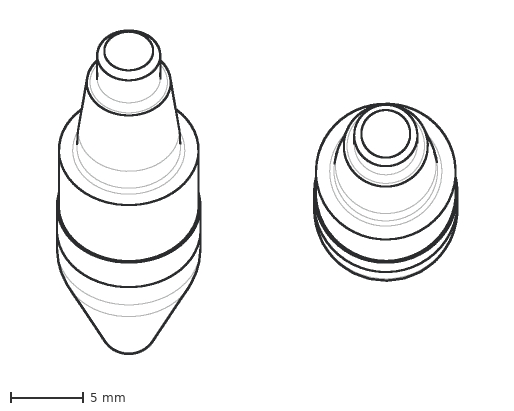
import cadquery as cq
import math

total_length = 33.0
collar_radius = 4.98
joint_z = 12.7
nose_radius = 2.0
blend_radius = 5.0
cone_angle = math.radians(20)

barrel_radius = 4.85
collar_top_z = 15.48
barrel_top_z = 21.8
neck_radius = 3.6
neck_arc_radius = 17.15
neck_taper = math.radians(6)
neck_fillet = 0.3
neck_top_z = 29.47
pin_radius = 4.4 / 2
pin_fillet = 0.5
pin_chamfer = 0.5


def revolve_outline(outline):
    """Turn a closed half-outline, drawn in XZ, about the Z axis."""
    return outline.close().revolve(360, (0, 0, 0), (0, 1, 0))


def arc_point(center_radius, center_z, radius, angle):
    """Point on an arc, with the angle measured up from the outward radial direction."""
    return (center_radius + radius * math.cos(angle), center_z + radius * math.sin(angle))


def make_tip():
    """Spherical nose, tangent cone, tangent blend and cylindrical rim."""
    nose_end = arc_point(0, nose_radius, nose_radius, -cone_angle)
    nose_mid = arc_point(0, nose_radius, nose_radius, -(math.pi / 2 + cone_angle) / 2)

    blend_center_r = collar_radius - blend_radius
    cone_top_r = blend_center_r + blend_radius * math.cos(cone_angle)
    cone_top_z = nose_end[1] + (cone_top_r - nose_end[0]) / math.tan(cone_angle)
    rim_z = cone_top_z + blend_radius * math.sin(cone_angle)
    blend_mid = arc_point(blend_center_r, rim_z, blend_radius, -cone_angle / 2)

    outline = (
        cq.Workplane("XZ")
        .moveTo(0, 0)
        .threePointArc(nose_mid, nose_end)
        .lineTo(cone_top_r, cone_top_z)
        .threePointArc(blend_mid, (collar_radius, rim_z))
        .lineTo(collar_radius, joint_z)
        .lineTo(0, joint_z)
    )
    return revolve_outline(outline)


def concave_fillet_mid(radius, base_z, fillet):
    """Middle of a quarter-round fillet between a flat shoulder and a cylinder."""
    return arc_point(radius + fillet, base_z + fillet, fillet, math.radians(225))


def make_shank():
    """Collar, barrel, tapered neck and chamfered end pin."""
    neck_base_z = barrel_top_z + neck_fillet
    neck_center_r = neck_radius - neck_arc_radius
    neck_mid = arc_point(neck_center_r, neck_base_z, neck_arc_radius, neck_taper / 2)
    taper_start = arc_point(neck_center_r, neck_base_z, neck_arc_radius, neck_taper)
    neck_top_radius = taper_start[0] - (neck_top_z - taper_start[1]) * math.tan(neck_taper)

    outline = (
        cq.Workplane("XZ")
        .moveTo(0, joint_z)
        .lineTo(collar_radius, joint_z)
        .lineTo(collar_radius, collar_top_z)
        .lineTo(barrel_radius, collar_top_z)
        .lineTo(barrel_radius, barrel_top_z)
        .lineTo(neck_radius + neck_fillet, barrel_top_z)
        .threePointArc(
            concave_fillet_mid(neck_radius, barrel_top_z, neck_fillet),
            (neck_radius, neck_base_z),
        )
        .threePointArc(neck_mid, taper_start)
        .lineTo(neck_top_radius, neck_top_z)
        .lineTo(pin_radius + pin_fillet, neck_top_z)
        .threePointArc(
            concave_fillet_mid(pin_radius, neck_top_z, pin_fillet),
            (pin_radius, neck_top_z + pin_fillet),
        )
        .lineTo(pin_radius, total_length - pin_chamfer)
        .lineTo(pin_radius - pin_chamfer, total_length)
        .lineTo(0, total_length)
    )
    return revolve_outline(outline)


tip = make_tip()
shank = make_shank()

result = cq.Compound.makeCompound([tip.val(), shank.val()])